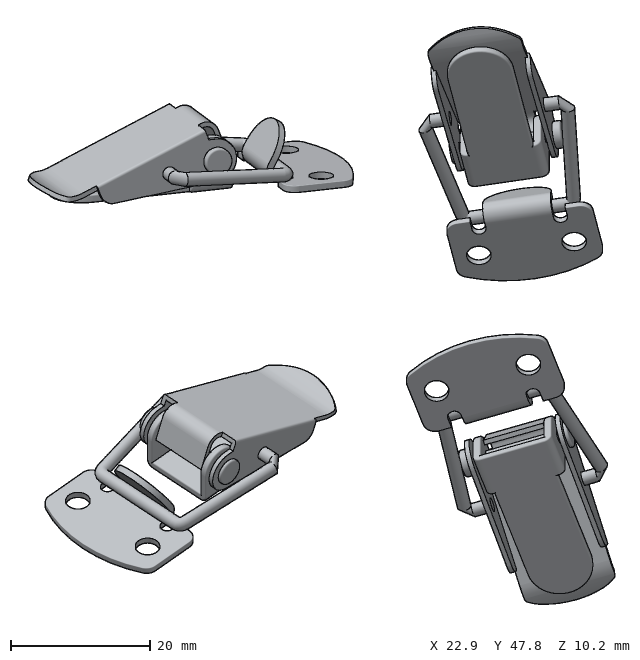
import cadquery as cq
import math

plate_thickness = 1.0
plate_half_width = 10.7
plate_top_y = 23.88
plate_bottom_y = 11.15
plate_top_radius = 21.95
plate_corner_radius = 1.8
plate_edge_round = 0.1
screw_hole_radius = 1.75
screw_hole_x = 6.95
screw_hole_y = 17.8
hook_half_width = 4.95
hook_lean = 30.0
hook_length = 5.8
relief_radius = 1.0
relief_y = 12.75

wire_radius = 1.0
bail_outer_width = 22.85
bail_hook_y = 12.22
bail_hook_z = plate_thickness + wire_radius
bail_lever_y = -5.7
bail_lever_z = 3.9
bail_hook_bend_x = 7.15
bail_lever_bend_x = bail_outer_width / 2 - 2 * wire_radius

pivot_y = 1.55
pivot_z = 5.15
pin_radius = 0.9
pin_head_radius = 2.0
pin_head_round = 0.3
left_head_length = 0.55
right_head_length = 1.3

base_thickness = 1.2
base_edge_round = 0.25
ear_radius = 3.15
ear_outer_x = 5.95
tail_half_width = ear_outer_x - base_thickness
tail_end_y = -21.2

lever_sheet = 0.7
lever_half_width = 7.25
lever_bend_radius = 0.4
lid_angle = 22.0
curl_radius = 2.0
curl_y = 1.0
curl_z = 8.15
curl_half_width = 4.55
curl_leg_length = 3.72
lid_setback = 0.5
flange_reach = 18.4
tongue_start = 20.7
lower_edge_angle = 6.0
flange_corner_radius = 1.9
tongue_angle = 23.0
tongue_bend_radius = 4.78
tongue_nose_radius = 10.05
tongue_nose_y = -23.88
tongue_corner_radius = 0.95


def polar(center, radius, degrees):
    """Point at a given angle on a circle, counted from the first axis."""
    angle = math.radians(degrees)
    return (center[0] + radius * math.cos(angle), center[1] + radius * math.sin(angle))


def x_cylinder(radius, x_start, x_end, y, z):
    """Round bar along X."""
    return cq.Workplane("YZ", origin=(x_start, y, z)).circle(radius).extrude(x_end - x_start)


def x_prism(outline, half_width):
    """Outline in the YZ plane extruded symmetrically along X."""
    return outline.extrude(half_width, both=True)


def make_catch_plate():
    side_top_y = plate_top_y - plate_top_radius + math.sqrt(plate_top_radius**2 - plate_half_width**2)
    plate = (
        cq.Workplane("XY")
        .moveTo(-plate_half_width, plate_bottom_y)
        .lineTo(plate_half_width, plate_bottom_y)
        .lineTo(plate_half_width, side_top_y)
        .threePointArc((0, plate_top_y), (-plate_half_width, side_top_y))
        .close()
        .extrude(plate_thickness)
        .edges("|Z")
        .fillet(plate_corner_radius)
    )
    plate = plate.faces("<Z or >Z").edges().fillet(plate_edge_round)
    screw_holes = (
        cq.Workplane("XY")
        .pushPoints([(-screw_hole_x, screw_hole_y), (screw_hole_x, screw_hole_y)])
        .circle(screw_hole_radius)
        .extrude(plate_thickness)
    )
    plate = plate.cut(screw_holes)

    relief_length = relief_y - plate_bottom_y
    for side in (-1, 1):
        relief_x = side * (hook_half_width + relief_radius)
        relief = cq.Workplane("XY").center(relief_x, relief_y).circle(relief_radius).extrude(plate_thickness)
        slot = (
            cq.Workplane("XY")
            .center(relief_x, relief_y - relief_length / 2)
            .rect(2 * relief_radius, relief_length)
            .extrude(plate_thickness)
        )
        plate = plate.cut(relief).cut(slot)
    bend_room = (
        cq.Workplane("XY")
        .rect(2 * hook_half_width, 2 * bail_hook_y)
        .extrude(plate_thickness)
    )
    plate = plate.cut(bend_room)

    center = (bail_hook_y, bail_hook_z)
    bend_outer = wire_radius + plate_thickness
    start_angle = 270
    end_angle = 180 - hook_lean
    mid_angle = (start_angle + end_angle) / 2
    bend = x_prism(
        cq.Workplane("YZ")
        .moveTo(*polar(center, wire_radius, start_angle))
        .lineTo(*polar(center, bend_outer, start_angle))
        .threePointArc(polar(center, bend_outer, mid_angle), polar(center, bend_outer, end_angle))
        .lineTo(*polar(center, wire_radius, end_angle))
        .threePointArc(polar(center, wire_radius, mid_angle), polar(center, wire_radius, start_angle))
        .close(),
        hook_half_width,
    )

    hook_shoulder = hook_length - hook_half_width
    tab_y, tab_z = polar(center, wire_radius, end_angle)
    lean = math.radians(hook_lean)
    tab_plane = cq.Plane(
        origin=(0, tab_y, tab_z), xDir=(1, 0, 0), normal=(0, -math.cos(lean), math.sin(lean))
    )
    tab = (
        cq.Workplane(tab_plane)
        .moveTo(-hook_half_width, 0)
        .lineTo(hook_half_width, 0)
        .lineTo(hook_half_width, hook_shoulder)
        .threePointArc((0, hook_length), (-hook_half_width, hook_shoulder))
        .close()
        .extrude(plate_thickness)
    )
    return plate.union(bend).union(tab)


def make_bail():
    rise = bail_hook_z - bail_lever_z
    run = bail_hook_y - bail_lever_y
    length = math.hypot(run, rise)
    lever_corner = (bail_lever_bend_x, wire_radius)
    hook_corner = (bail_hook_bend_x, length - wire_radius)
    leg_splay = math.degrees(
        math.atan2(lever_corner[0] - hook_corner[0], hook_corner[1] - lever_corner[1])
    )

    def mirrored(point):
        return (-point[0], point[1])

    def bend_points(corner, first, last):
        return [polar(corner, wire_radius, a) for a in (first, (first + last) / 2, last)]

    lever_bend = bend_points(lever_corner, -90, leg_splay)
    hook_bend = bend_points(hook_corner, leg_splay, 90)
    end_x = lever_half_width - lever_sheet
    path = (
        cq.Workplane("XY")
        .moveTo(end_x, 0)
        .lineTo(*lever_bend[0])
        .threePointArc(*lever_bend[1:])
        .lineTo(*hook_bend[0])
        .threePointArc(*hook_bend[1:])
        .lineTo(*mirrored(hook_bend[2]))
        .threePointArc(mirrored(hook_bend[1]), mirrored(hook_bend[0]))
        .lineTo(*mirrored(lever_bend[2]))
        .threePointArc(mirrored(lever_bend[1]), mirrored(lever_bend[0]))
        .lineTo(-end_x, 0)
    )
    bail = cq.Workplane("YZ", origin=(end_x, 0, 0)).circle(wire_radius).sweep(path)
    tilt = math.degrees(math.atan2(rise, run))
    return bail.rotate((0, 0, 0), (1, 0, 0), tilt).translate((0, bail_lever_y, bail_lever_z))


def make_base():
    ear_front_y = pivot_y + ear_radius
    ear_top_z = pivot_z + ear_radius
    outer_block = (
        cq.Workplane("XZ", origin=(0, ear_front_y, 0))
        .center(0, ear_top_z / 2)
        .rect(2 * ear_outer_x, ear_top_z)
        .extrude(2 * ear_radius)
        .edges("|Y and <Z")
        .fillet(base_thickness)
    )
    channel_space = (
        cq.Workplane("XZ", origin=(0, ear_front_y, 0))
        .center(0, base_thickness + ear_top_z / 2)
        .rect(2 * (ear_outer_x - base_thickness), ear_top_z)
        .extrude(2 * ear_radius)
    )
    ear_profile = x_prism(
        cq.Workplane("YZ")
        .moveTo(pivot_y - ear_radius, 0)
        .lineTo(ear_front_y, 0)
        .lineTo(ear_front_y, pivot_z)
        .threePointArc((pivot_y, ear_top_z), (pivot_y - ear_radius, pivot_z))
        .close(),
        ear_outer_x,
    )
    channel = outer_block.cut(channel_space).intersect(ear_profile)
    channel = channel.faces("<Y or >Y").edges("not(|X and >Z)").fillet(base_edge_round)

    tail_round_y = tail_end_y + tail_half_width
    tail = (
        cq.Workplane("XY")
        .moveTo(-tail_half_width, pivot_y)
        .lineTo(-tail_half_width, tail_round_y)
        .threePointArc((0, tail_end_y), (tail_half_width, tail_round_y))
        .lineTo(tail_half_width, pivot_y)
        .close()
        .extrude(base_thickness)
    )
    tail = tail.faces("<Z or >Z").edges("not >Y").fillet(base_edge_round)

    pin_hole = x_cylinder(pin_radius, -ear_outer_x, ear_outer_x, pivot_y, pivot_z)
    return channel.union(tail).cut(pin_hole)


def make_pin():
    shaft = x_cylinder(pin_radius, -lever_half_width, lever_half_width, pivot_y, pivot_z)
    left_head = x_cylinder(
        pin_head_radius, -lever_half_width - left_head_length, -lever_half_width, pivot_y, pivot_z
    )
    left_head = left_head.faces("<X").edges().fillet(pin_head_round)
    right_head = x_cylinder(
        pin_head_radius, lever_half_width, lever_half_width + right_head_length, pivot_y, pivot_z
    )
    right_head = right_head.edges().fillet(pin_head_round)
    return shaft.union(left_head).union(right_head)


def lid_point(distance, depth):
    """Point measured down the lid from the curl's tangent line, and inward from the lid's outer face."""
    slope = math.radians(lid_angle)
    tangent_y, tangent_z = polar((curl_y, curl_z), curl_radius, 90 + lid_angle)
    return (
        tangent_y - distance * math.cos(slope) + depth * math.sin(slope),
        tangent_z - distance * math.sin(slope) - depth * math.cos(slope),
    )


def make_lever_channel():
    """Lid with two side flanges that are rounded about the pivot."""
    slope = math.radians(lid_angle)
    lower_slope = math.radians(lower_edge_angle)
    lid_back = lid_point(lid_setback, 0)
    lid_front = lid_point(flange_reach, 0)
    shoulder_z = pivot_z + ear_radius
    shoulder_depth = (lid_back[1] - shoulder_z) / math.cos(slope)
    pivot = (pivot_y, pivot_z)
    lower_start = polar(pivot, ear_radius, lower_edge_angle - 90)
    lower_length = (
        (lower_start[0] - lid_front[0]) * math.cos(slope)
        + (lower_start[1] - lid_front[1]) * math.sin(slope)
    ) / math.cos(slope - lower_slope)
    front_corner = (
        lower_start[0] - lower_length * math.cos(lower_slope),
        lower_start[1] - lower_length * math.sin(lower_slope),
    )
    block = x_prism(
        cq.Workplane("YZ")
        .moveTo(*lid_back)
        .lineTo(*lid_point(lid_setback, shoulder_depth))
        .lineTo(pivot_y, shoulder_z)
        .threePointArc((pivot_y + ear_radius, pivot_z), lower_start)
        .lineTo(*front_corner)
        .lineTo(*lid_front)
        .close(),
        lever_half_width,
    )
    block = block.edges(cq.selectors.NearestToPointSelector((0, *front_corner))).fillet(flange_corner_radius)
    lid_face = cq.selectors.DirectionMinMaxSelector(cq.Vector(0, -math.sin(slope), math.cos(slope)))
    block = block.faces(lid_face).edges("not |X").fillet(lever_bend_radius)

    room_length = lever_half_width + flange_reach
    room = x_prism(
        cq.Workplane("YZ")
        .moveTo(*lid_point(-room_length, lever_sheet))
        .lineTo(*lid_point(room_length, lever_sheet))
        .lineTo(*lid_point(room_length, room_length))
        .lineTo(*lid_point(-room_length, room_length))
        .close(),
        lever_half_width - lever_sheet,
    )
    return block.cut(room)


def make_lever_curl():
    """Narrow strip that rolls over from the back of the lid and hangs down between the ears."""
    center = (curl_y, curl_z)
    inner_radius = curl_radius - lever_sheet
    mid_angle = lid_angle + 45

    def leg_point(radius, distance):
        start_y, start_z = polar(center, radius, lid_angle)
        slope = math.radians(lid_angle)
        return (start_y + distance * math.sin(slope), start_z - distance * math.cos(slope))

    return x_prism(
        cq.Workplane("YZ")
        .moveTo(*lid_point(lid_setback, 0))
        .lineTo(*lid_point(0, 0))
        .threePointArc(polar(center, curl_radius, mid_angle), leg_point(curl_radius, 0))
        .lineTo(*leg_point(curl_radius, curl_leg_length))
        .lineTo(*leg_point(inner_radius, curl_leg_length))
        .lineTo(*leg_point(inner_radius, 0))
        .threePointArc(polar(center, inner_radius, mid_angle), lid_point(0, lever_sheet))
        .lineTo(*lid_point(lid_setback, lever_sheet))
        .close(),
        curl_half_width,
    )


def make_lever_tongue():
    """Finger tongue: the lid runs on past the flanges and bends up to a rounded nose."""
    bend_center = lid_point(tongue_start, -tongue_bend_radius)
    outer_radius = tongue_bend_radius + lever_sheet
    start_angle = lid_angle - 90
    end_angle = -90 - tongue_angle
    mid_angle = (start_angle + end_angle) / 2
    upper_end = polar(bend_center, tongue_bend_radius, end_angle)
    lower_end = polar(bend_center, outer_radius, end_angle)
    rise = math.radians(tongue_angle)
    nose_z = lower_end[1] + (lower_end[0] - tongue_nose_y) * math.tan(rise)
    tip_y = lower_end[0] - tongue_nose_y + lever_sheet
    tip_z = tip_y * math.tan(rise)
    half_width = lever_half_width - lever_bend_radius
    strip = x_prism(
        cq.Workplane("YZ")
        .moveTo(*lid_point(flange_reach, 0))
        .lineTo(*lid_point(tongue_start, 0))
        .threePointArc(polar(bend_center, tongue_bend_radius, mid_angle), upper_end)
        .lineTo(upper_end[0] - tip_y, upper_end[1] + tip_z)
        .lineTo(lower_end[0] - tip_y, lower_end[1] + tip_z)
        .lineTo(*lower_end)
        .threePointArc(polar(bend_center, outer_radius, mid_angle), lid_point(tongue_start, lever_sheet))
        .lineTo(*lid_point(flange_reach, lever_sheet))
        .close(),
        half_width,
    )

    nose_plane = cq.Plane(
        origin=(0, tongue_nose_y, nose_z), xDir=(1, 0, 0), normal=(0, math.sin(rise), math.cos(rise))
    )
    side_start = tongue_nose_radius - math.sqrt(tongue_nose_radius**2 - half_width**2)
    nose_length = lever_half_width + tongue_nose_radius
    nose = (
        cq.Workplane(nose_plane)
        .moveTo(-half_width, nose_length)
        .lineTo(-half_width, side_start)
        .threePointArc((0, 0), (half_width, side_start))
        .lineTo(half_width, nose_length)
        .close()
        .extrude(nose_length, both=True)
    )
    nose_edges = cq.selectors.ParallelDirSelector(nose_plane.zDir)
    nose = nose.edges(nose_edges).fillet(tongue_corner_radius)
    return strip.intersect(nose)


def make_lever():
    lever = make_lever_channel().union(make_lever_curl()).union(make_lever_tongue())
    pin_hole = x_cylinder(pin_radius, -lever_half_width, lever_half_width, pivot_y, pivot_z)
    bail_hole = x_cylinder(wire_radius, -lever_half_width, lever_half_width, bail_lever_y, bail_lever_z)
    return lever.cut(pin_hole).cut(bail_hole)


catch_plate = make_catch_plate()
bail = make_bail()
base = make_base()
pin = make_pin()
lever = make_lever()
bodies = [catch_plate, bail, base, pin, lever]
result = cq.Compound.makeCompound([body.val() for body in bodies])